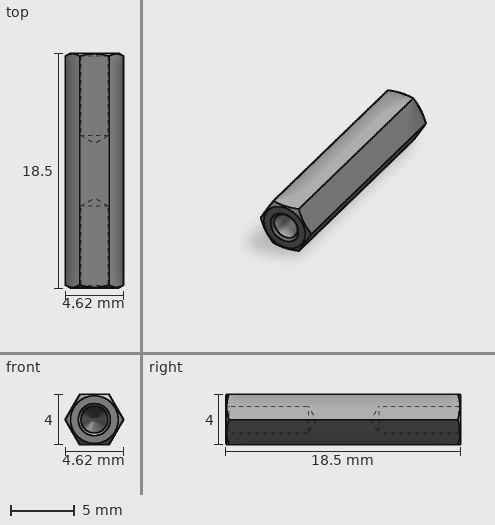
import cadquery as cq
import math

length = 18.5
across_flats = 4.0
across_corners = across_flats / math.cos(math.radians(30))

end_face_diameter = 3.75
corner_chamfer_angle = 30.0

bore_diameter = 2.1
bore_depth = 6.48
drill_point_angle = 118.0
mouth_diameter = 2.53
mouth_angle = 90.0

corner_clearance = 0.18
half_length = length / 2


def cone_height(large_diameter, small_diameter, full_angle):
    """Axial length of a cone between two diameters, from its full angle."""
    return (large_diameter - small_diameter) / 2 / math.tan(math.radians(full_angle / 2))


def revolve_about_y(points):
    """Solid of revolution about Y from a profile of (radius, y) points."""
    return cq.Workplane("XY").polyline(points).close().revolve(360, (0, 0, 0), (0, 1, 0))


def hexagonal_bar():
    """Hexagonal bar, corners on X and flats facing +Z and -Z, trimmed by end cones."""
    bar = cq.Workplane("XZ", origin=(0, half_length, 0)).polygon(6, across_corners).extrude(length)
    face_radius = end_face_diameter / 2
    envelope_radius = across_corners / 2 + corner_clearance
    chamfer_slope = math.tan(math.radians(corner_chamfer_angle))
    shoulder = half_length - (envelope_radius - face_radius) * chamfer_slope
    envelope = revolve_about_y([
        (0, -half_length),
        (face_radius, -half_length),
        (envelope_radius, -shoulder),
        (envelope_radius, shoulder),
        (face_radius, half_length),
        (0, half_length),
    ])
    return bar.intersect(envelope)


def bore_cutter():
    """Blind bore entering from the -Y end."""
    bore_radius = bore_diameter / 2
    bore_end = -half_length + bore_depth
    return revolve_about_y([
        (0, -half_length),
        (mouth_diameter / 2, -half_length),
        (bore_radius, -half_length + cone_height(mouth_diameter, bore_diameter, mouth_angle)),
        (bore_radius, bore_end),
        (0, bore_end + cone_height(bore_diameter, 0, drill_point_angle)),
    ])


front_bore = bore_cutter()
result = hexagonal_bar().cut(front_bore).cut(front_bore.mirror("XZ"))